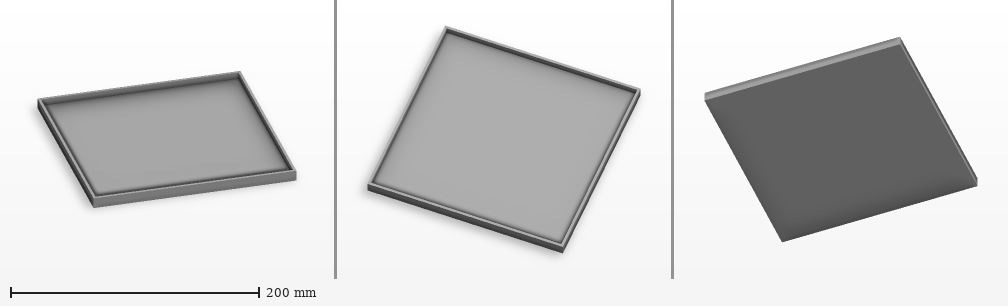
import cadquery as cq

side = 169.5
height = 9.0
wall = 2.2
floor_thickness = 3.0

outer_block = cq.Workplane("XY").box(side, side, height, centered=(True, True, False))

pocket_side = side - 2 * wall
pocket = (
    cq.Workplane("XY")
    .workplane(offset=floor_thickness)
    .rect(pocket_side, pocket_side)
    .extrude(height - floor_thickness)
)

result = outer_block.cut(pocket)